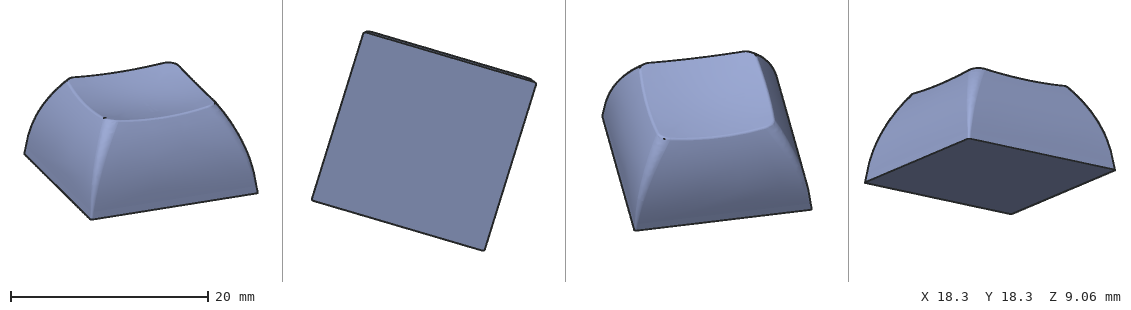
import cadquery as cq
import math

base_width = 18.31
base_corner_radius = 0.24
skirt_height = 0.79
skirt_top_half_width = 9.05
skirt_corner_radius = 0.25

wall_mid_half_width = 8.42
wall_mid_height = 4.2
wall_upper_half_width = 6.12
wall_upper_height = 8.88
upper_corner_radius = 1.19
blank_height = 9.89
section_count = 8

dish_radius = 34.79
dish_bottom = 8.17
rim_fillet = 0.3


def circle_through(a, b, c):
    """Return centre and radius of the circle through three points."""
    bx, by = b[0] - a[0], b[1] - a[1]
    cx, cy = c[0] - a[0], c[1] - a[1]
    b_square = bx**2 + by**2
    c_square = cx**2 + cy**2
    cross = 2 * (bx * cy - by * cx)
    x = (cy * b_square - by * c_square) / cross
    y = (bx * c_square - cx * b_square) / cross
    return a[0] + x, a[1] + y, math.hypot(x, y)


arc_x, arc_z, arc_radius = circle_through(
    (skirt_top_half_width, skirt_height),
    (wall_mid_half_width, wall_mid_height),
    (wall_upper_half_width, wall_upper_height),
)


def wall_half_width(z):
    return arc_x + math.sqrt(arc_radius**2 - (z - arc_z)**2)


def corner_radius(z):
    """Corner radius grows evenly from the skirt to the rim."""
    rise = (z - skirt_height) / (wall_upper_height - skirt_height)
    return skirt_corner_radius + rise * (upper_corner_radius - skirt_corner_radius)


def rounded_square(z, half_width, radius):
    square = cq.Workplane(origin=(0, 0, z)).rect(2 * half_width, 2 * half_width).val()
    return square.fillet2D(radius, square.Vertices())


def loft(sections, ruled):
    return cq.Workplane(cq.Solid.makeLoft(sections, ruled))


skirt_top = rounded_square(skirt_height, skirt_top_half_width, skirt_corner_radius)
skirt = loft([rounded_square(0, base_width / 2, base_corner_radius), skirt_top], True)

body_sections = []
for i in range(section_count):
    z = skirt_height + (blank_height - skirt_height) * i / (section_count - 1)
    body_sections.append(rounded_square(z, wall_half_width(z), corner_radius(z)))
body = loft(body_sections, False)

dish = cq.Workplane().sphere(dish_radius).translate((0, 0, dish_bottom + dish_radius))
dished_body = body.cut(dish)
rim = cq.selectors.BoxSelector(
    (-base_width, -base_width, dish_bottom), (base_width, base_width, blank_height)
)
dished_body = dished_body.edges(rim).fillet(rim_fillet)

result = skirt.union(dished_body)